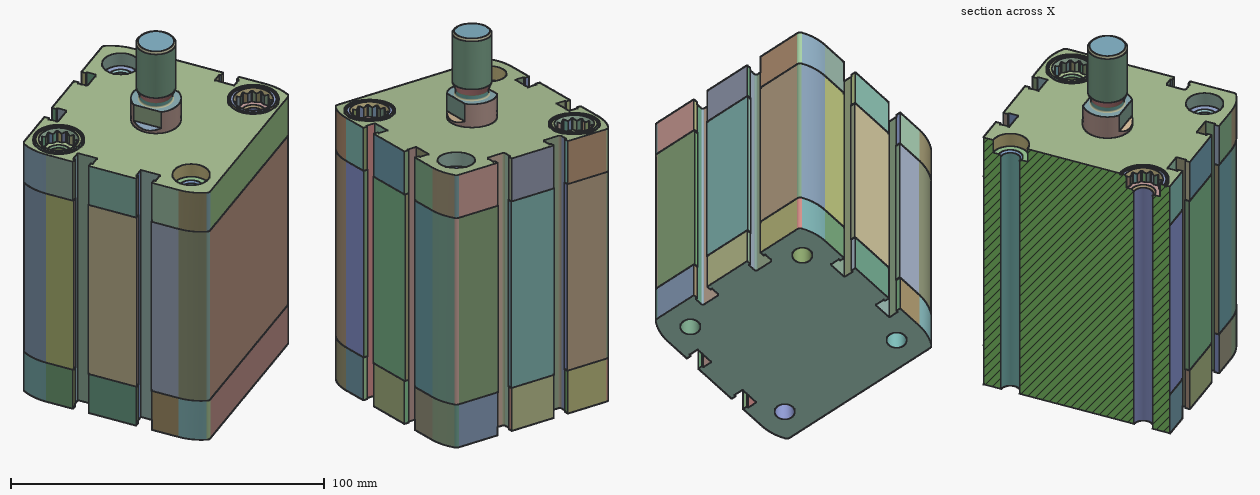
import cadquery as cq
import math

HOUSING_SIDE = 65.5
HOUSING_HEIGHT = 95.8
CAP_HEIGHT = 15.1
BARREL_INSET = 0.06

CORNER_ARC_RADIUS = 17.4
CORNER_ARC_START = 23.3
CORNER_FILLET = 1.5

SLOT_OFFSET = 11.1
CAP_MOUTH_WIDTH = 5.5
BARREL_MOUTH_WIDTH = 5.2
SLOT_POCKET_WIDTH = 6.8
SLOT_LIP = 1.6
SLOT_DEPTH = 5.0
SIDE_SLOT_FILLET = 0.6

HOLE_OFFSET = 23.3
HOLE_DIAMETER = 6.4
HOLE_CONE_DIAMETER = 8.0
HOLE_CONE_DEPTH = 0.6
RECESS_DEPTH = 4.9
COUNTERBORE_DIAMETER = 12.0

HEAD_RING_DIAMETER = 16.4
HEAD_TOP_DIAMETER = 14.6
HEAD_DIAMETER = 15.5
HEAD_CHAMFER_DEPTH = 0.5
SOCKET_MOUTH_DIAMETER = 12.7
SOCKET_CONE_DEPTH = 1.8
SOCKET_FLATS = 10.3
SOCKET_TIP_DIAMETER = 11.7

ROD_TOP = 126.0
ROD_DIAMETER = 16.0
ROD_SHOULDER = 104.0
FLAT_WIDTH = 12.7
FLAT_BOTTOM = 97.8
FLAT_RUN_OUT = 1.1
NECK_DIAMETER = 10.6
NECK_TOP = 105.7
NECK_FILLET = 0.5
STUD_DIAMETER = 12.7
STUD_BOTTOM = 108.4
STUD_TIP_DIAMETER = 11.5
STUD_CHAMFER_HEIGHT = 0.8


def housing_block(inset, bottom, height):
    """A length of the housing section without slots, made smaller all round by the inset."""
    half = HOUSING_SIDE / 2 - inset
    radius = CORNER_ARC_RADIUS - inset
    arc_middle_x = (CORNER_ARC_START + half) / 2

    def arc_y(x):
        return half - radius + math.sqrt(radius**2 - (x - CORNER_ARC_START) ** 2)

    start_x = CORNER_ARC_START
    middle_y = arc_y(arc_middle_x)
    end_y = arc_y(half)
    block = (
        cq.Workplane("XY", origin=(0, 0, bottom))
        .moveTo(-start_x, half)
        .lineTo(start_x, half)
        .threePointArc((arc_middle_x, middle_y), (half, end_y))
        .lineTo(half, -end_y)
        .threePointArc((arc_middle_x, -middle_y), (start_x, -half))
        .lineTo(-start_x, -half)
        .threePointArc((-arc_middle_x, -middle_y), (-half, -end_y))
        .lineTo(-half, end_y)
        .threePointArc((-arc_middle_x, middle_y), (-start_x, half))
        .close()
        .extrude(height)
    )
    return block.edges("|Z and (<X or >X)").fillet(CORNER_FILLET - inset)


def slot_cutter(mouth_width, floor_fillet, bottom, height):
    """A T-slot that opens towards +Y, centred on X = 0 in the +Y side of the housing."""
    side_y = HOUSING_SIDE / 2
    floor_y = side_y - SLOT_DEPTH
    pocket_depth = SLOT_DEPTH - SLOT_LIP
    base = cq.Workplane("XY", origin=(0, floor_y, bottom))
    pocket = base.box(SLOT_POCKET_WIDTH, pocket_depth, height, centered=(True, False, False))
    if floor_fillet:
        pocket = pocket.edges("|Z and <Y").fillet(floor_fillet)
    mouth = base.box(mouth_width, SLOT_DEPTH, height, centered=(True, False, False))
    return pocket.union(mouth)


def housing_section(inset, mouth_width, bottom, height):
    """A length of housing with two T-slots in each of the +Y, -X and -Y sides."""
    section = housing_block(inset, bottom, height)
    slotted_sides = ((0, 0), (90, SIDE_SLOT_FILLET), (180, 0))
    for turn, floor_fillet in slotted_sides:
        cutter = slot_cutter(mouth_width, floor_fillet, bottom, height)
        for offset in (-SLOT_OFFSET, SLOT_OFFSET):
            slot = cutter.translate((offset, 0, 0)).rotate((0, 0, 0), (0, 0, 1), turn)
            section = section.cut(slot)
    return section


def cone(top_diameter, foot_diameter, top, depth):
    """A truncated cone on the Z axis, reaching from the height top down by the depth."""
    return cq.Workplane(
        cq.Solid.makeCone(
            foot_diameter / 2, top_diameter / 2, depth, pnt=cq.Vector(0, 0, top - depth)
        )
    )


def cylinder(diameter, bottom, top):
    """A cylinder on the Z axis."""
    return cq.Workplane("XY", origin=(0, 0, bottom)).circle(diameter / 2).extrude(top - bottom)


def through_hole():
    """The bolt hole below a recess, with its conical entry."""
    recess_floor = HOUSING_HEIGHT - RECESS_DEPTH
    entry = cone(HOLE_CONE_DIAMETER, HOLE_DIAMETER, recess_floor, HOLE_CONE_DEPTH)
    return cylinder(HOLE_DIAMETER, 0, recess_floor).union(entry)


def counterbored_hole():
    """Cutter for a plain counterbored corner hole."""
    recess = cylinder(COUNTERBORE_DIAMETER, HOUSING_HEIGHT - RECESS_DEPTH, HOUSING_HEIGHT)
    return through_hole().union(recess)


def screw_head_hole():
    """Cutter for a corner with a chamfered screw head and its twelve-point socket."""
    top = HOUSING_HEIGHT
    floor = top - RECESS_DEPTH
    hexagon = (
        cq.Workplane("XY", origin=(0, 0, floor))
        .polygon(6, SOCKET_FLATS, circumscribed=True)
        .extrude(RECESS_DEPTH)
    )
    twelve_points = hexagon.union(hexagon.rotate((0, 0, 0), (0, 0, 1), 30))
    socket = twelve_points.intersect(cylinder(SOCKET_TIP_DIAMETER, floor, top))
    socket_entry = cone(SOCKET_MOUTH_DIAMETER, SOCKET_FLATS, top, SOCKET_CONE_DEPTH)
    head = cone(HEAD_TOP_DIAMETER, HEAD_DIAMETER, top, HEAD_CHAMFER_DEPTH)
    ring = cylinder(HEAD_RING_DIAMETER, top - HEAD_CHAMFER_DEPTH, top).cut(head)
    return through_hole().union(socket).union(socket_entry).union(ring)


def make_housing():
    """Barrel and end caps in one piece, with corner holes and the bore for the rod."""
    barrel_top = HOUSING_HEIGHT - CAP_HEIGHT
    body = housing_section(BARREL_INSET, BARREL_MOUTH_WIDTH, CAP_HEIGHT, barrel_top - CAP_HEIGHT)
    for cap_bottom in (0, barrel_top):
        cap = housing_section(0, CAP_MOUTH_WIDTH, cap_bottom, CAP_HEIGHT)
        body = body.union(cap)
    for side in (-1, 1):
        diagonal = side * HOLE_OFFSET
        body = body.cut(screw_head_hole().translate((diagonal, diagonal, 0)))
        body = body.cut(counterbored_hole().translate((diagonal, -diagonal, 0)))
    return body.cut(cylinder(ROD_DIAMETER, barrel_top, HOUSING_HEIGHT))


def make_rod():
    """Piston rod with threaded stud, undercut neck and two wrench flats facing -Y and +Y."""
    stud_radius = STUD_DIAMETER / 2
    neck_radius = NECK_DIAMETER / 2
    rod_radius = ROD_DIAMETER / 2
    rod_bottom = HOUSING_HEIGHT - CAP_HEIGHT
    rod = (
        cq.Workplane("XZ")
        .moveTo(0, rod_bottom)
        .lineTo(rod_radius, rod_bottom)
        .lineTo(rod_radius, ROD_SHOULDER)
        .lineTo(neck_radius, ROD_SHOULDER)
        .lineTo(neck_radius, NECK_TOP)
        .lineTo(stud_radius, STUD_BOTTOM)
        .lineTo(stud_radius, ROD_TOP - STUD_CHAMFER_HEIGHT)
        .lineTo(STUD_TIP_DIAMETER / 2, ROD_TOP)
        .lineTo(0, ROD_TOP)
        .close()
        .revolve(360, (0, 0, 0), (0, 1, 0))
    )
    neck_ends = cq.selectors.RadiusNthSelector(0)
    rod = rod.edges("%CIRCLE").edges(neck_ends).fillet(NECK_FILLET)
    flat_y = FLAT_WIDTH / 2
    for side in (-1, 1):
        flat_cutter = (
            cq.Workplane("YZ")
            .moveTo(side * flat_y, ROD_SHOULDER)
            .lineTo(side * flat_y, FLAT_BOTTOM)
            .lineTo(side * rod_radius, FLAT_BOTTOM - FLAT_RUN_OUT)
            .lineTo(side * rod_radius, ROD_SHOULDER)
            .close()
            .extrude(rod_radius, both=True)
        )
        rod = rod.cut(flat_cutter)
    return rod


housing = make_housing()
rod = make_rod()
result = cq.Compound.makeCompound([housing.val(), rod.val()])